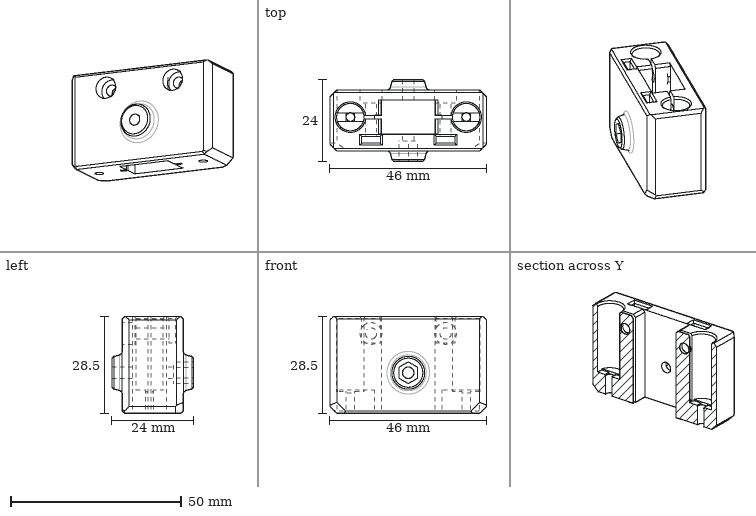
import cadquery as cq
import math

LENGTH = 46.0
WIDTH = 18.0
HEIGHT = 28.5
END_CHAMFER = 2.02
END_TOP_CHAMFER = 1.0
SIDE_CHAMFER = 0.75
FRONT_CORNER_CHAMFER = 2.3

OVERALL_WIDTH = 24.0
BOSS_Z = 11.95
BOSS_HEIGHT = (OVERALL_WIDTH - WIDTH) / 2
BOSS_TIP_RADIUS = 4.3
BOSS_TIP_CHAMFER = 0.55
BOSS_ROOT_FILLET = 1.0
BOSS_DRAFT = math.radians(15)
CROSS_HOLE_DIAMETER = 3.3
NUT_CORNER_DIAMETER = 6.4
NUT_POCKET_DEPTH = 6.0

AXIS_Y = 0.95
WINDOW_LENGTH = 15.75
WINDOW_WIDTH = 10.0
WINDOW_LEAD_IN = 0.85

BORE_X = 17.0
BORE_DIAMETER = 8.05
BORE_LEAD_IN = 0.45
BORE_LEAD_IN_DEPTH = 0.65
BORE_FLOOR_Z = 6.9
SCREW_DIAMETER = 2.5
FLOOR_STEP = 0.4

SLOT_WIDTH = 0.95
THROUGH_SLOT_END_X = 9.9

CLAMP_X = 10.95
CLAMP_Z = 23.5
CLAMP_HOLE_DIAMETER = CROSS_HOLE_DIAMETER
CLAMP_HEAD_DIAMETER = 6.4
CLAMP_HEAD_DEPTH = 3.8

POCKET_LENGTH = 5.47
POCKET_WIDTH = 2.0
POCKET_LEAD_IN = 0.6
POCKET_LEAD_IN_DEPTH = 0.7
POCKET_Y = -5.7
POCKET_FLOOR_Z = CLAMP_Z - POCKET_LENGTH / 2

SIDES = (-1, 1)


def box(length, width, bottom, top, x=0.0, y=0.0):
    """Box centred on (x, y) between two heights."""
    return (
        cq.Workplane("XY", origin=(x, y, bottom))
        .rect(length, width)
        .extrude(top - bottom)
    )


def make_block():
    """Block with chamfered edges; the slanted lower corners are chamfered again."""
    across_length = (
        box(LENGTH, WIDTH, 0, HEIGHT)
        .edges("|Y and <Z").chamfer(END_CHAMFER)
        .edges("|Y and >Z").chamfer(END_TOP_CHAMFER)
    )
    slant_middle = (LENGTH - END_CHAMFER) / 2
    for side in SIDES:
        for y, chamfer in ((-WIDTH / 2, FRONT_CORNER_CHAMFER), (WIDTH / 2, SIDE_CHAMFER)):
            slanted_edge = cq.selectors.NearestToPointSelector(
                (side * slant_middle, y, END_CHAMFER / 2)
            )
            across_length = across_length.edges(slanted_edge).chamfer(chamfer)

    vertical_prism = box(LENGTH, WIDTH, 0, HEIGHT).edges("|Z").chamfer(END_CHAMFER)
    long_prism = box(LENGTH, WIDTH, 0, HEIGHT).edges("|X").chamfer(SIDE_CHAMFER)
    return across_length.intersect(vertical_prism).intersect(long_prism)


def make_boss(side):
    """Tapered round boss with a concave root fillet and a chamfered tip."""
    rim_radius = BOSS_TIP_RADIUS + BOSS_TIP_CHAMFER
    rim_height = BOSS_HEIGHT - BOSS_TIP_CHAMFER
    tangent_height = BOSS_ROOT_FILLET * (1 - math.sin(BOSS_DRAFT))
    tangent_radius = rim_radius + (rim_height - tangent_height) * math.tan(BOSS_DRAFT)
    arc_centre_radius = tangent_radius + BOSS_ROOT_FILLET * math.cos(BOSS_DRAFT)
    half_angle = (math.pi / 2 - BOSS_DRAFT) / 2
    arc_middle = (
        arc_centre_radius - BOSS_ROOT_FILLET * math.sin(half_angle),
        BOSS_ROOT_FILLET * (1 - math.cos(half_angle)),
    )
    face_y = WIDTH / 2

    def point(radius, height):
        return radius, side * (face_y + height)

    return (
        cq.Workplane("XY", origin=(0, 0, BOSS_Z))
        .moveTo(0, 0)
        .lineTo(arc_centre_radius, 0)
        .lineTo(*point(arc_centre_radius, 0))
        .threePointArc(point(*arc_middle), point(tangent_radius, tangent_height))
        .lineTo(*point(rim_radius, rim_height))
        .lineTo(*point(BOSS_TIP_RADIUS, BOSS_HEIGHT))
        .lineTo(*point(0, BOSS_HEIGHT))
        .close()
        .revolve(360, (0, 0, 0), (0, 1, 0))
    )


def make_cross_hole():
    """Hole through both bosses with a hexagonal nut pocket in the front one."""
    front = cq.Workplane("XZ", origin=(0, -OVERALL_WIDTH / 2, BOSS_Z))
    hole = front.circle(CROSS_HOLE_DIAMETER / 2).extrude(-OVERALL_WIDTH)
    pocket = (
        front.transformed(rotate=(0, 0, 90))
        .polygon(6, NUT_CORNER_DIAMETER)
        .extrude(-NUT_POCKET_DEPTH)
    )
    return hole.union(pocket)


def make_window():
    """Rectangular opening whose two end walls flare out at the top."""
    half_length = WINDOW_LENGTH / 2
    flared_half = half_length + WINDOW_LEAD_IN
    return (
        cq.Workplane("XZ", origin=(0, AXIS_Y + WINDOW_WIDTH / 2, 0))
        .polyline([
            (-half_length, 0),
            (half_length, 0),
            (half_length, HEIGHT - WINDOW_LEAD_IN),
            (flared_half, HEIGHT),
            (-flared_half, HEIGHT),
            (-half_length, HEIGHT - WINDOW_LEAD_IN),
        ])
        .close()
        .extrude(WINDOW_WIDTH)
    )


def make_bore(side):
    """Bore with a lead-in, a groove and a square in its floor, and a screw hole."""
    x = side * BORE_X
    radius = BORE_DIAMETER / 2
    bore = (
        cq.Workplane("XY", origin=(x, AXIS_Y, BORE_FLOOR_Z))
        .circle(radius)
        .extrude(HEIGHT - BORE_FLOOR_Z)
    )
    lead_in = (
        cq.Workplane("XY", origin=(x, AXIS_Y, HEIGHT))
        .circle(radius + BORE_LEAD_IN)
        .workplane(offset=-BORE_LEAD_IN_DEPTH)
        .circle(radius)
        .loft()
    )
    groove_z = BORE_FLOOR_Z - FLOOR_STEP
    groove = box(BORE_DIAMETER, SCREW_DIAMETER, groove_z, HEIGHT, x, AXIS_Y).intersect(
        cq.Workplane("XY", origin=(x, AXIS_Y, 0)).circle(radius).extrude(HEIGHT)
    )
    square = box(SCREW_DIAMETER, SCREW_DIAMETER, groove_z - FLOOR_STEP, HEIGHT, x, AXIS_Y)
    screw_hole = (
        cq.Workplane("XY", origin=(x, AXIS_Y, 0))
        .circle(SCREW_DIAMETER / 2)
        .extrude(HEIGHT)
    )
    return bore.union(lead_in).union(groove).union(square).union(screw_hole)


def make_slot():
    """Slot from bore to bore, cut through to the base near the window only."""
    floored = box(2 * BORE_X, SLOT_WIDTH, BORE_FLOOR_Z, HEIGHT, y=AXIS_Y)
    through = box(2 * THROUGH_SLOT_END_X, SLOT_WIDTH, 0, HEIGHT, y=AXIS_Y)
    return floored.union(through)


def make_nut_pocket(side):
    """Blind rectangular nut pocket with a flared mouth."""
    x = side * CLAMP_X
    straight = box(POCKET_LENGTH, POCKET_WIDTH, POCKET_FLOOR_Z, HEIGHT, x, POCKET_Y)
    mouth = (
        cq.Workplane("XY", origin=(x, POCKET_Y, HEIGHT))
        .rect(POCKET_LENGTH + 2 * POCKET_LEAD_IN, POCKET_WIDTH + 2 * POCKET_LEAD_IN)
        .workplane(offset=-POCKET_LEAD_IN_DEPTH)
        .rect(POCKET_LENGTH, POCKET_WIDTH)
        .loft()
    )
    return straight.union(mouth)


def make_clamp_hole(side):
    """Screw hole from the rear face to the nut pocket, with a head counterbore."""
    rear_y = WIDTH / 2
    rear = cq.Workplane("XZ", origin=(side * CLAMP_X, rear_y, CLAMP_Z))
    hole = rear.circle(CLAMP_HOLE_DIAMETER / 2).extrude(rear_y - POCKET_Y)
    head = rear.circle(CLAMP_HEAD_DIAMETER / 2).extrude(CLAMP_HEAD_DEPTH)
    return hole.union(head)


result = make_block()
for side in SIDES:
    result = result.union(make_boss(side))

result = result.cut(make_window()).cut(make_cross_hole()).cut(make_slot())
for side in SIDES:
    result = result.cut(make_bore(side))
    result = result.cut(make_nut_pocket(side))
    result = result.cut(make_clamp_hole(side))